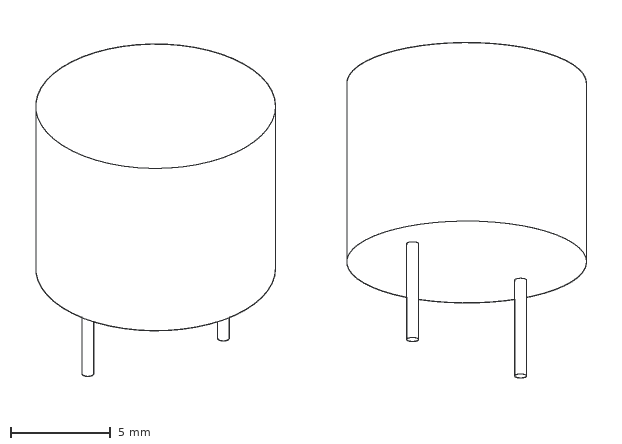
import cadquery as cq

TOTAL_HEIGHT = 14.6
HOUSING_DIAMETER = 12.0
HOUSING_HEIGHT = 9.5

PIN_DIAMETER = 0.6
PIN_SPACING = 7.59
PIN_LENGTH = TOTAL_HEIGHT - HOUSING_HEIGHT


def make_housing():
    """Plain cylinder standing on the XY plane."""
    return cq.Workplane("XY").circle(HOUSING_DIAMETER / 2).extrude(HOUSING_HEIGHT)


def make_pin(y_position):
    """Straight lead hanging from the underside of the housing."""
    return cq.Workplane("XY").center(0, y_position).circle(PIN_DIAMETER / 2).extrude(-PIN_LENGTH)


housing = make_housing()
pins = [make_pin(side * PIN_SPACING / 2) for side in (-1, 1)]

result = cq.Compound.makeCompound([housing.val(), *[pin.val() for pin in pins]])